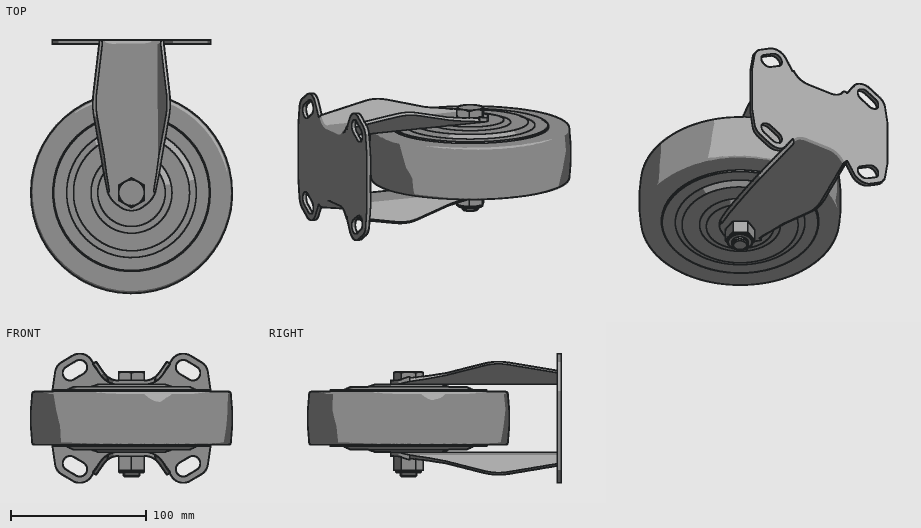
import cadquery as cq
import math


tyre_radius = 74.72
tyre_shoulder_radius = 73.4
tyre_half_width = 19.8
tyre_edge_fillet = 2.0
rim_radius = 58.3
rim_face_radius = 57.6
rim_half_width = 20.9
web_outer_radius = 48.0
web_inner_radius = 43.0
web_half_width = 23.3
hub_outer_radius = 30.0
hub_inner_radius = 25.0
hub_half_width = 25.0

sheet = 3.0
bend_edge_fillet = 2.95
overall_length = 187.78
plate_back = overall_length - tyre_radius
plate_height = 95.76
plate_half_height = plate_height / 2
plate_half_width = 58.7
plate_side_half_height = 20.0
lug_radius = 10.2
lug_inner_x = 38.3
lug_inner_z = plate_half_height - lug_radius
lug_length = 9.6
slot_length = 8.3
slot_angle = 31.0
slot_width = 10.8

leg_flat_half_width = 9.7
flange_angle = 55.0
bend_inner_radius = 13.0
bend_outer_radius = bend_inner_radius + sheet
leg_outer_z = hub_half_width + sheet
bend_axis_z = hub_half_width + bend_outer_radius

flange_reach_at_back = 1.6
flange_peak_reach = 11.4
flange_peak_y = 64.8
flange_peak_fillet = 36.0
flange_end_y = 28.0
leg_round_start_y = 0.9
leg_round_start_angle = 30.5
leg_round_middle_x = 14.7
leg_round_middle_y = -5.0
leg_shoulder_y = -9.6
leg_end_y = -13.25

bolt_diameter = 12.0
hex_flats = 19.0
hex_corners = hex_flats / math.cos(math.pi / 6)
head_height = 6.4
head_chamfer_angle = 30.0
nut_hex_height = 10.6
nut_collar_height = 1.6
nut_collar_radius = 9.4
nut_collar_chamfer = 0.6
bolt_end_z = -43.2
bolt_end_chamfer = 1.0


def make_tyre():
    """Crowned tread ring with rounded shoulders."""
    section = (
        cq.Workplane("XZ")
        .moveTo(rim_radius, -tyre_half_width)
        .lineTo(tyre_shoulder_radius, -tyre_half_width)
        .threePointArc((tyre_radius, 0), (tyre_shoulder_radius, tyre_half_width))
        .lineTo(rim_radius, tyre_half_width)
        .close()
    )
    ring = section.revolve(360, (0, 0, 0), (0, 1, 0))
    shoulders = cq.selectors.RadiusNthSelector(-1)
    return ring.faces("<Z or >Z").edges(shoulders).fillet(tyre_edge_fillet)


def make_core():
    """Wheel body, stepping out to the hub on both faces, bored for the bolt."""
    upper = [
        (rim_radius, tyre_half_width),
        (rim_face_radius, rim_half_width),
        (web_outer_radius, rim_half_width),
        (web_inner_radius, web_half_width),
        (hub_outer_radius, web_half_width),
        (hub_inner_radius, hub_half_width),
        (bolt_diameter / 2, hub_half_width),
    ]
    lower = [(radius, -z) for radius, z in reversed(upper)]
    return cq.Workplane("XZ").polyline(upper + lower).close().revolve(360, (0, 0, 0), (0, 1, 0))


def bend_point(radius, angle):
    """X and Z on the +X bend, at an angle measured from the flat web."""
    a = math.radians(angle)
    return (leg_flat_half_width + radius * math.sin(a), bend_axis_z - radius * math.cos(a))


def flange_point(reach):
    """X and Z on the wheel side of the +X flange, at a distance out from the bend."""
    x, z = bend_point(bend_outer_radius, flange_angle)
    a = math.radians(flange_angle)
    return (x + reach * math.cos(a), z + reach * math.sin(a))


def tangent_point(point, centre, radius, side):
    """Where a line from a point touches a circle; side +1 is left of the line to the centre, -1 right."""
    dx = point[0] - centre[0]
    dz = point[1] - centre[1]
    angle = math.atan2(dz, dx) - side * math.acos(radius / math.hypot(dx, dz))
    return (centre[0] + radius * math.cos(angle), centre[1] + radius * math.sin(angle))


def make_plate_quarter():
    """The +X, +Z quarter of the mounting plate with its slotted lug."""
    a = math.radians(slot_angle)
    inner = (lug_inner_x, lug_inner_z)
    outer = (inner[0] + lug_length * math.cos(a), inner[1] - lug_length * math.sin(a))
    slot_middle = (inner[0] + slot_length / 2 * math.cos(a), inner[1] - slot_length / 2 * math.sin(a))
    normal = (lug_radius * math.sin(a), lug_radius * math.cos(a))
    side_corner = (plate_half_width, plate_side_half_height)
    flange_tip = flange_point(flange_reach_at_back)
    side_touch = tangent_point(side_corner, outer, lug_radius, -1)
    flange_touch = tangent_point(flange_tip, inner, lug_radius, 1)
    outer_arc_middle = (outer[0] + lug_radius * math.cos(a), outer[1] + lug_radius * math.sin(a))
    quarter = (
        cq.Workplane("XZ", origin=(0, plate_back, 0))
        .lineTo(plate_half_width, 0)
        .lineTo(*side_corner)
        .lineTo(*side_touch)
        .threePointArc(outer_arc_middle, (outer[0] + normal[0], outer[1] + normal[1]))
        .lineTo(inner[0] + normal[0], inner[1] + normal[1])
        .threePointArc((inner[0], inner[1] + lug_radius), flange_touch)
        .lineTo(*flange_tip)
        .lineTo(*flange_point(0))
        .threePointArc(bend_point(bend_outer_radius, flange_angle / 2), bend_point(bend_outer_radius, 0))
        .lineTo(0, hub_half_width)
        .close()
        .extrude(sheet)
    )
    slot = (
        cq.Workplane("XZ", origin=(0, plate_back, 0))
        .center(*slot_middle)
        .slot2D(slot_length + slot_width, slot_width, -slot_angle)
        .extrude(sheet)
    )
    return quarter.cut(slot)


def make_leg_web():
    """Flat web and both bends of the upper leg, with the tapered edges and rounded end."""
    outer_bend_middle = bend_point(bend_outer_radius, flange_angle / 2)
    inner_bend_middle = bend_point(bend_inner_radius, flange_angle / 2)
    half = (
        cq.Workplane("XZ", origin=(0, plate_back, 0))
        .moveTo(0, hub_half_width)
        .lineTo(*bend_point(bend_outer_radius, 0))
        .threePointArc(outer_bend_middle, bend_point(bend_outer_radius, flange_angle))
        .lineTo(*bend_point(bend_inner_radius, flange_angle))
        .threePointArc(inner_bend_middle, bend_point(bend_inner_radius, 0))
        .lineTo(0, leg_outer_z)
        .close()
        .extrude(plate_back - leg_end_y)
    )
    back_face = half.faces(">Y")
    bend_x, bend_z = inner_bend_middle
    flat_edge = back_face.edges(cq.NearestToPointSelector((leg_flat_half_width / 2, plate_back, leg_outer_z)))
    bend_edge = back_face.edges(cq.NearestToPointSelector((bend_x, plate_back, bend_z)))
    half = flat_edge.add(bend_edge).fillet(bend_edge_fillet)

    wedge_angle = 60.0
    wedge_length = 2 * bend_outer_radius
    start = math.radians(flange_angle)
    finish = math.radians(flange_angle + wedge_angle)
    winding = (
        cq.Workplane("XZ", origin=(leg_flat_half_width, flange_end_y, bend_axis_z))
        .lineTo(wedge_length * math.sin(start), -wedge_length * math.cos(start))
        .lineTo(wedge_length * math.sin(finish), -wedge_length * math.cos(finish))
        .close()
        .twistExtrude(flange_end_y - leg_round_start_y, leg_round_start_angle - flange_angle)
    )
    half = half.cut(winding)
    web = half.union(half.mirror("YZ"))

    round_start_x = bend_point(bend_outer_radius, leg_round_start_angle)[0]
    clear_x = plate_half_width
    outline = (
        cq.Workplane("XY")
        .moveTo(-clear_x, plate_back)
        .lineTo(-clear_x, leg_round_start_y)
        .lineTo(-round_start_x, leg_round_start_y)
        .threePointArc((-leg_round_middle_x, leg_round_middle_y), (-leg_flat_half_width, leg_shoulder_y))
        .threePointArc((0, leg_end_y), (leg_flat_half_width, leg_shoulder_y))
        .threePointArc((leg_round_middle_x, leg_round_middle_y), (round_start_x, leg_round_start_y))
        .lineTo(clear_x, leg_round_start_y)
        .lineTo(clear_x, plate_back)
        .close()
        .extrude(bend_axis_z)
    )
    return web.intersect(outline)


def make_flange():
    """The upper leg's +X flange: a flat blank with a rounded peak, tilted into place."""
    blank = (
        cq.Workplane("XY")
        .moveTo(0, flange_end_y)
        .lineTo(flange_peak_reach, flange_peak_y)
        .lineTo(flange_reach_at_back, plate_back)
        .lineTo(0, plate_back)
        .close()
        .extrude(sheet)
        .edges("|Z and >X")
        .fillet(flange_peak_fillet)
        .edges(">Y and >Z")
        .fillet(bend_edge_fillet)
    )
    x, z = flange_point(0)
    return blank.rotate((0, 0, 0), (0, 1, 0), -flange_angle).translate((x, 0, z))


def make_bracket():
    """Mounting plate and both legs as one bent sheet, rounded along the outside of the bend."""
    flange = make_flange()
    quarter = make_plate_quarter()
    half = make_leg_web().union(flange).union(flange.mirror("YZ"))
    half = half.union(quarter).union(quarter.mirror("YZ"))
    bracket = half.union(half.mirror("XY"))
    bolt_hole = cq.Workplane("XY").circle(bolt_diameter / 2).extrude(leg_outer_z, both=True)
    return bracket.cut(bolt_hole)


def make_hexagon(base_z, height):
    """Hexagonal prism with two corners on the Y axis."""
    prism = cq.Workplane("XY").polygon(6, hex_corners).extrude(height)
    return prism.rotate((0, 0, 0), (0, 0, 1), 30).translate((0, 0, base_z))


def make_bolt():
    """Hexagon head bolt through the wheel; the head's corners are chamfered to a circle."""
    head_top = leg_outer_z + head_height
    corner_drop = (hex_corners - hex_flats) / 2 * math.tan(math.radians(head_chamfer_angle))
    chamfer_body = (
        cq.Workplane("XZ")
        .moveTo(0, leg_outer_z)
        .lineTo(hex_corners / 2, leg_outer_z)
        .lineTo(hex_corners / 2, head_top - corner_drop)
        .lineTo(hex_flats / 2, head_top)
        .lineTo(0, head_top)
        .close()
        .revolve(360, (0, 0, 0), (0, 1, 0))
    )
    head = make_hexagon(leg_outer_z, head_height).intersect(chamfer_body)
    shank = (
        cq.Workplane("XY", origin=(0, 0, bolt_end_z))
        .circle(bolt_diameter / 2)
        .extrude(leg_outer_z - bolt_end_z)
        .faces("<Z")
        .chamfer(bolt_end_chamfer)
    )
    return head.union(shank)


def make_nut():
    """Hexagon lock nut with a round collar at its outer end."""
    hex_end = -leg_outer_z - nut_hex_height
    collar = (
        cq.Workplane("XY", origin=(0, 0, hex_end - nut_collar_height))
        .circle(nut_collar_radius)
        .extrude(nut_collar_height)
        .faces("<Z")
        .chamfer(nut_collar_chamfer)
    )
    bore = (
        cq.Workplane("XY", origin=(0, 0, hex_end - nut_collar_height))
        .circle(bolt_diameter / 2)
        .extrude(nut_hex_height + nut_collar_height)
    )
    return make_hexagon(hex_end, nut_hex_height).union(collar).cut(bore)


tyre = make_tyre()
core = make_core()
bracket = make_bracket()
bolt = make_bolt()
nut = make_nut()

result = cq.Compound.makeCompound([tyre.val(), core.val(), bracket.val(), bolt.val(), nut.val()])